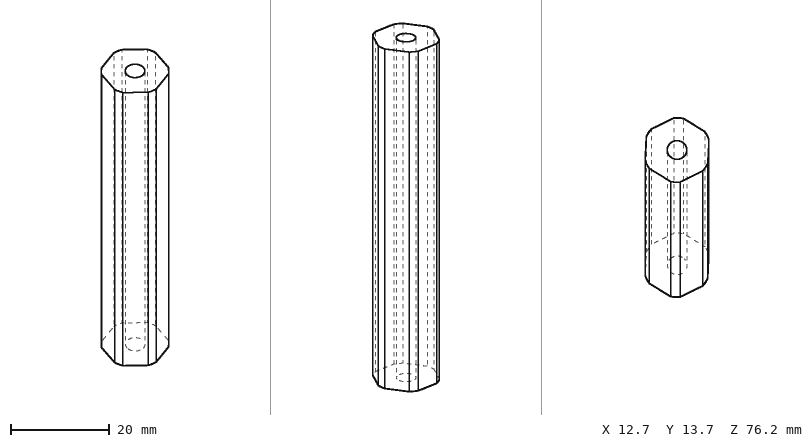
import cadquery as cq
import math

length = 76.2
across_flats = 12.7
corner_diameter = 13.7
bore_diameter = 4.0

sharp_corner_diameter = across_flats / math.cos(math.pi / 6)

hexagon = (
    cq.Workplane("XY")
    .polygon(6, sharp_corner_diameter)
    .extrude(length)
    .rotate((0, 0, 0), (0, 0, 1), 90)
)

round_bar = cq.Workplane("XY").circle(corner_diameter / 2).extrude(length)

bore = cq.Workplane("XY").circle(bore_diameter / 2).extrude(length)

result = hexagon.intersect(round_bar).cut(bore)